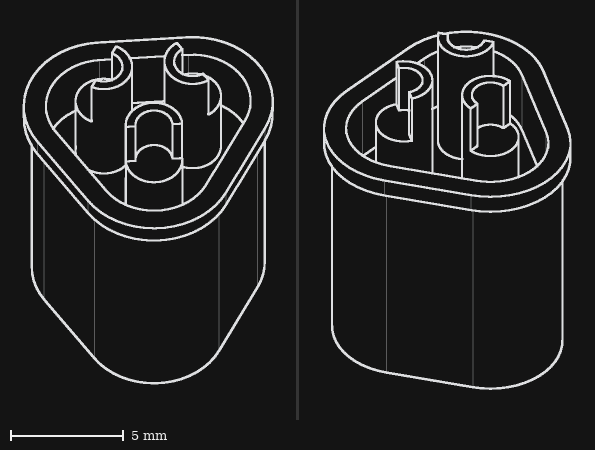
import cadquery as cq
import math

pin_spacing = 3.95
flange_radius = 3.55
body_radius = 3.2
cavity_radius = 2.57

total_height = 14.68
flange_bottom = 10.9
flange_top = 11.8
pin_shoulder = 12.15
cavity_floor = 8.51

pin_diameter = 2.51
cup_diameter = 1.65

centre_distance = pin_spacing / math.sqrt(3)
corner_angles = [90, 210, 330]


def corner_centre(angle):
    """Return the XY centre of the corner lying in the given direction."""
    direction = math.radians(angle)
    return (centre_distance * math.cos(direction), centre_distance * math.sin(direction))


def rounded_triangle(radius, bottom, top):
    """Make a triangular prism with a round of the given radius about each corner centre."""
    return (
        cq.Workplane("XY", origin=(0, 0, bottom))
        .polyline([corner_centre(angle) for angle in corner_angles])
        .close()
        .offset2D(radius)
        .extrude(top - bottom)
    )


def solder_pin(angle):
    """Make a round pin whose upper end is a half tube, open away from the centroid."""
    cup_height = total_height - pin_shoulder
    post = cq.Workplane("XY", origin=(0, 0, cavity_floor)).circle(pin_diameter / 2)
    post = post.extrude(total_height - cavity_floor)
    cup = cq.Workplane("XY", origin=(0, 0, pin_shoulder))
    bore = cup.circle(cup_diameter / 2).extrude(cup_height)
    open_half = (
        cup.center(pin_diameter / 2, 0).rect(pin_diameter, 2 * pin_diameter).extrude(cup_height)
    )
    pin = post.cut(bore).cut(open_half)
    return pin.rotate((0, 0, 0), (0, 0, 1), angle).translate((*corner_centre(angle), 0))


body = rounded_triangle(body_radius, 0, flange_top)
flange = rounded_triangle(flange_radius, flange_bottom, flange_top)
cavity = rounded_triangle(cavity_radius, cavity_floor, flange_top)
result = body.union(flange).cut(cavity)

for corner_angle in corner_angles:
    result = result.union(solder_pin(corner_angle))